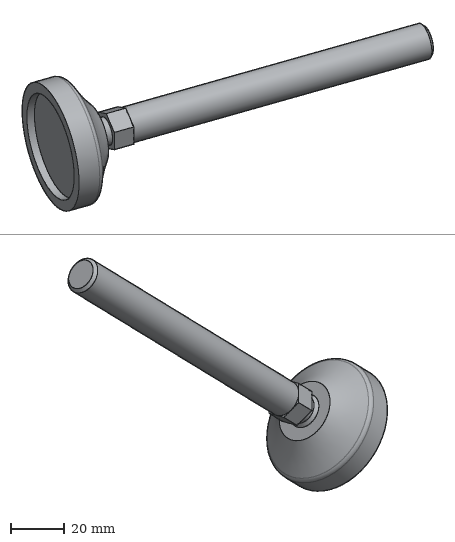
import cadquery as cq
import math

total_length = 156.0

pad_diameter = 50.0
pad_rim_height = 8.6
pad_shoulder_height = 10.3
shoulder_inset = 1.1
pad_height = 18.4
pad_top_diameter = 24.0
flank_sag = 0.39

recess_diameter = 41.5
recess_depth = 3.1

neck_diameter = 11.0
flare_diameter = 13.4
flare_height = 1.4

hex_start = 23.1
hex_end = 31.2
hex_across_flats = 14.0

stud_diameter = 14.0
stud_chamfer = 1.2


def cylinder_along_y(diameter, start, end):
    """Solid cylinder on the Y axis between two Y positions."""
    base = cq.Workplane("XZ", origin=(0, start, 0))
    return base.circle(diameter / 2).extrude(start - end)


def make_pad_and_neck():
    """Revolved pad with a slightly hollow flank, rounded shoulder, flare and neck."""
    pad_radius = pad_diameter / 2
    shoulder_radius = pad_radius - shoulder_inset
    top_radius = pad_top_diameter / 2
    neck_radius = neck_diameter / 2

    flank_run = shoulder_radius - top_radius
    flank_rise = pad_height - pad_shoulder_height
    flank_chord = math.hypot(flank_run, flank_rise)
    flank_middle = (
        (shoulder_radius + top_radius) / 2 - flank_sag * flank_rise / flank_chord,
        (pad_shoulder_height + pad_height) / 2 - flank_sag * flank_run / flank_chord,
    )

    profile = (
        cq.Workplane("XY")
        .lineTo(pad_radius, 0)
        .lineTo(pad_radius, pad_rim_height)
        .tangentArcPoint((shoulder_radius, pad_shoulder_height), relative=False)
        .threePointArc(flank_middle, (top_radius, pad_height))
        .lineTo(flare_diameter / 2, pad_height)
        .lineTo(neck_radius, pad_height + flare_height)
        .lineTo(neck_radius, hex_start)
        .lineTo(0, hex_start)
        .close()
    )
    body = profile.revolve(360, (0, 0, 0), (0, 1, 0))
    return body.cut(cylinder_along_y(recess_diameter, 0, recess_depth))


def make_hexagon():
    """Wrench hexagon with corners on the Z axis."""
    across_corners = hex_across_flats / math.cos(math.pi / 6)
    return (
        cq.Workplane("XZ", origin=(0, hex_start, 0))
        .transformed(rotate=(0, 0, 90))
        .polygon(6, across_corners)
        .extrude(hex_start - hex_end)
    )


def make_stud():
    """Plain stud with a chamfered free end."""
    stud = cylinder_along_y(stud_diameter, hex_end, total_length)
    return stud.faces(">Y").chamfer(stud_chamfer)


result = make_pad_and_neck().union(make_hexagon()).union(make_stud())